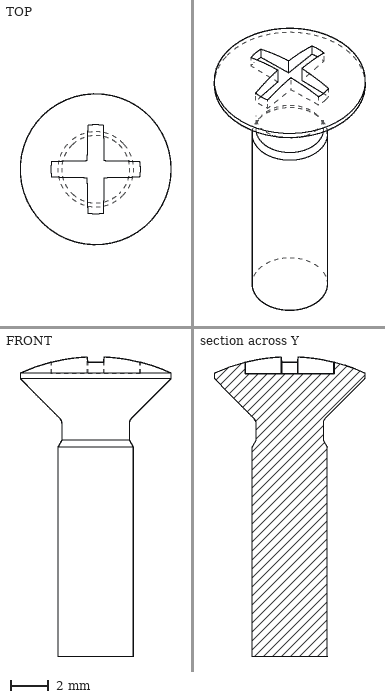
import cadquery as cq

crown_height = 15.9
rim_top = 15.02
rim_bottom = 14.72
shank_top = 11.1
neck_bottom = 11.47

head_radius = 4.0
shank_radius = head_radius / 2
neck_radius = 1.8
neck_fillet = 0.38
selection_margin = 0.02

recess_reach = 2.37
recess_root_width = 0.9
recess_tip_width = 0.83
recess_depth = 0.9

neck_top = rim_bottom - (head_radius - neck_radius)

dome_rise = crown_height - rim_top
dome_radius = (head_radius**2 + dome_rise**2) / (2 * dome_rise)
dome_mid_radius = head_radius / 2
dome_mid_height = crown_height - dome_radius + (dome_radius**2 - dome_mid_radius**2) ** 0.5


def make_screw_body():
    """Revolve the half profile of shank, neck and raised countersunk head."""
    body = (
        cq.Workplane("XZ")
        .lineTo(shank_radius, 0)
        .lineTo(shank_radius, shank_top)
        .lineTo(neck_radius, neck_bottom)
        .lineTo(neck_radius, neck_top)
        .lineTo(head_radius, rim_bottom)
        .lineTo(head_radius, rim_top)
        .threePointArc((dome_mid_radius, dome_mid_height), (0, crown_height))
        .close()
        .revolve(360, (0, 0, 0), (0, 1, 0))
    )
    neck_corner = cq.selectors.BoxSelector(
        (-head_radius, -head_radius, neck_top - selection_margin),
        (head_radius, head_radius, neck_top + selection_margin),
        boundingbox=False,
    )
    return body.edges(neck_corner).fillet(neck_fillet)


def make_cross_recess():
    """Four tapered arms with tips rounded about the screw axis."""
    floor = cq.Workplane("XY", origin=(0, 0, crown_height - recess_depth))
    root = recess_root_width / 2
    tip = recess_tip_width / 2
    arm = (
        floor.polyline([(0, -root), (root, -root), (recess_reach, -tip),
                        (recess_reach, tip), (root, root), (0, root)])
        .close()
        .extrude(recess_depth)
    )
    cross = arm
    for angle in (90, 180, 270):
        cross = cross.union(arm.rotate((0, 0, 0), (0, 0, 1), angle))
    return cross.intersect(floor.circle(recess_reach).extrude(recess_depth))


result = make_screw_body().cut(make_cross_recess())